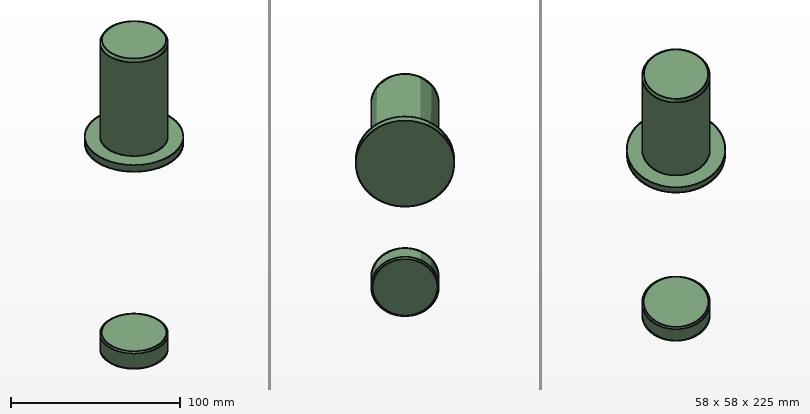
import cadquery as cq
import math

OVERALL_HEIGHT = 225.0
SHAFT_DIAMETER = 40.0
FLANGE_DIAMETER = 58.0
FLANGE_THICKNESS = 5.0
PIN_LENGTH = 75.0
PIN_CHAMFER_HEIGHT = 2.0
PIN_CHAMFER_ANGLE = 30.0
PIN_CHAMFER_WIDTH = PIN_CHAMFER_HEIGHT * math.tan(math.radians(PIN_CHAMFER_ANGLE))
DISC_THICKNESS = 12.8
DISC_CHAMFER = 1.0


def chamfered_cylinder(length, height, width, both_ends):
    """Shaft-diameter cylinder with its top rim, or both rims, chamfered."""
    radius = SHAFT_DIAMETER / 2
    profile = cq.Workplane("XZ")
    if both_ends:
        profile = profile.lineTo(radius - width, 0).lineTo(radius, height)
    else:
        profile = profile.lineTo(radius, 0)
    profile = profile.lineTo(radius, length - height).lineTo(radius - width, length).lineTo(0, length)
    return profile.close().revolve(360, (0, 0, 0), (0, 1, 0))


def flanged_pin():
    """Round shaft standing on a flange, chamfered at its top end."""
    shaft = chamfered_cylinder(PIN_LENGTH, PIN_CHAMFER_HEIGHT, PIN_CHAMFER_WIDTH, both_ends=False)
    flange = cq.Workplane("XY").circle(FLANGE_DIAMETER / 2).extrude(FLANGE_THICKNESS)
    return shaft.union(flange)


def disc():
    """Plain disc of the shaft's diameter, chamfered on both rims."""
    return chamfered_cylinder(DISC_THICKNESS, DISC_CHAMFER, DISC_CHAMFER, both_ends=True)


lower_disc = disc()
upper_pin = flanged_pin().translate((0, 0, OVERALL_HEIGHT - PIN_LENGTH))

result = cq.Compound.makeCompound([upper_pin.val(), lower_disc.val()])